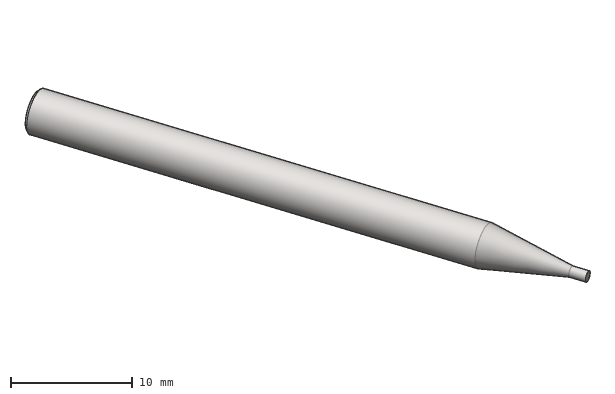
import cadquery as cq

total_length = 50.0
shank_radius = 2.0
shank_length = 40.7
shank_chamfer = 0.25
tip_radius = 0.5
tip_length = 1.5

back_x = -total_length / 2
front_x = total_length / 2
shank_end_x = back_x + shank_length
tip_x = front_x - tip_length

half_profile = (
    cq.Workplane("XY")
    .moveTo(back_x, 0)
    .lineTo(back_x, shank_radius - shank_chamfer)
    .lineTo(back_x + shank_chamfer, shank_radius)
    .lineTo(shank_end_x, shank_radius)
    .lineTo(tip_x, tip_radius)
    .lineTo(front_x, tip_radius)
    .lineTo(front_x, 0)
    .close()
)

result = half_profile.revolve(360, (0, 0, 0), (1, 0, 0))